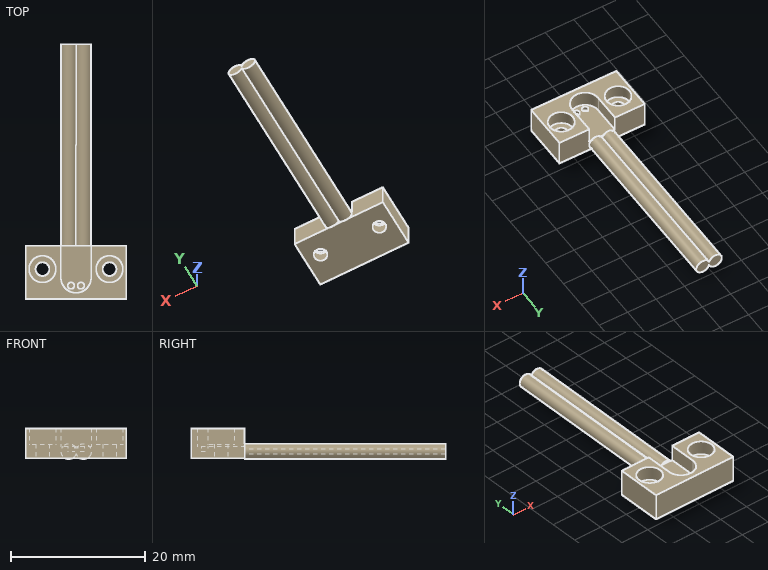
import cadquery as cq

total_length = 38.0
head_width = 15.0
head_depth = 7.98
head_height = 4.5

mount_spacing = 10.0
mount_from_back = 3.5
mount_diameter = 2.0
counterbore_diameter = 4.0
counterbore_depth = 2.35

slot_width = 4.52
slot_front_wall = 0.95
slot_floor = 1.82

fibre_hole_diameter = 1.0
fibre_hole_spacing = 1.5
fibre_hole_from_front = 2.0
fibre_hole_depth = 0.75

cable_diameter = 2.3
cable_spacing = slot_width - cable_diameter
cable_drop = 0.1
cable_length = total_length - head_depth


def make_head():
    return cq.Workplane("XY").box(head_width, head_depth, head_height, centered=(True, False, False))


def cut_mounting_holes(body):
    hole_y = head_depth - mount_from_back
    return (
        body.faces(">Z")
        .workplane(origin=(0, 0, head_height))
        .pushPoints([(side * mount_spacing / 2, hole_y) for side in (-1, 1)])
        .cboreHole(mount_diameter, counterbore_diameter, counterbore_depth)
    )


def make_slot():
    radius = slot_width / 2
    arc_start_y = slot_front_wall + radius
    return (
        cq.Workplane("XY", origin=(0, 0, slot_floor))
        .moveTo(-radius, head_depth)
        .lineTo(-radius, arc_start_y)
        .threePointArc((0, slot_front_wall), (radius, arc_start_y))
        .lineTo(radius, head_depth)
        .close()
        .extrude(head_height - slot_floor)
    )


def make_fibre_holes():
    return (
        cq.Workplane("XY", origin=(0, 0, slot_floor))
        .pushPoints([(side * fibre_hole_spacing / 2, fibre_hole_from_front) for side in (-1, 1)])
        .circle(fibre_hole_diameter / 2)
        .extrude(-fibre_hole_depth)
    )


def make_cable(side):
    axis_z = cable_diameter / 2 - cable_drop
    return (
        cq.Workplane("XZ", origin=(side * cable_spacing / 2, head_depth, axis_z))
        .circle(cable_diameter / 2)
        .extrude(-cable_length)
    )


head = cut_mounting_holes(make_head())
result = head.cut(make_slot()).cut(make_fibre_holes())
for side in (-1, 1):
    result = result.union(make_cable(side))